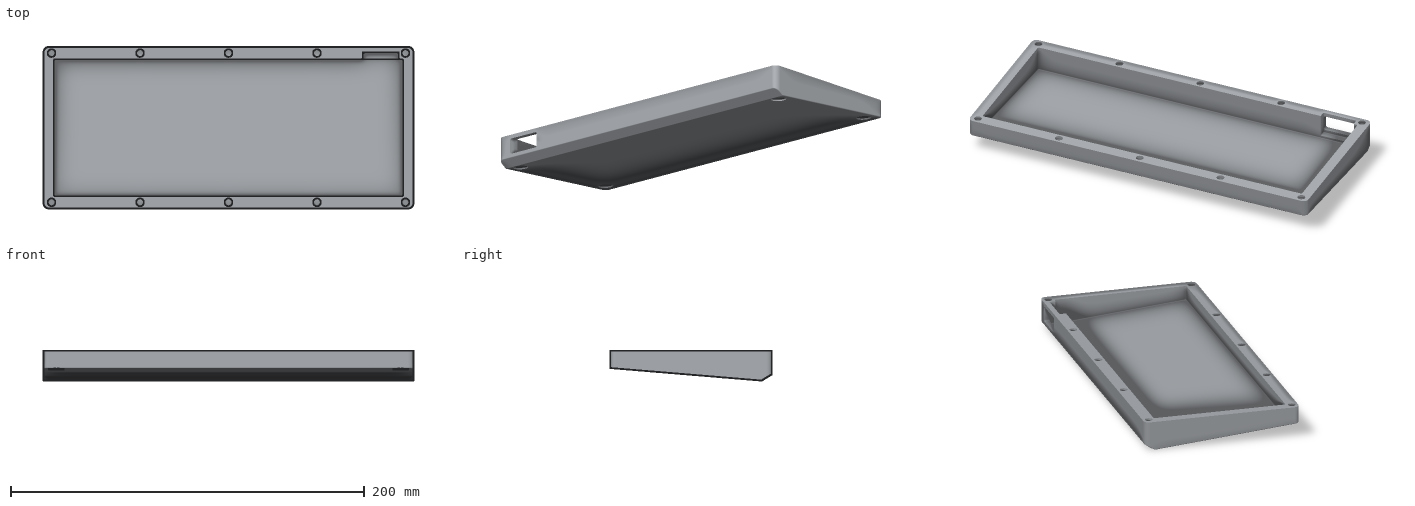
import cadquery as cq
import math

length = 209.3
width = 91.5
back_height = 17.0
front_height = 9.8
corner_radius = 3.1
bottom_edge_fillet = 0.5

bevel_run = 5.9
bevel_rise = 3.5

side_wall = 5.9
end_wall = 7.0
floor_thickness = 2.0
cavity_corner_radius = 1.0
floor_fillet = 0.5

hole_diameter = 4.4
hole_depth = 1.9
hole_columns = 5
hole_inset_x = 4.5
hole_inset_y = 3.5

foot_diameter = 8.5
foot_depth = 0.8
foot_inset_x = 7.3
foot_inset_front = 8.4
foot_inset_back = 10.5

notch_length = 20.3
notch_end_gap = 8.4
notch_depth = 13.2
notch_skin = 3.1
notch_fillet = 0.5
mouth_radius = 0.5
window_margin = 0.2
window_top = 2.3
window_height = 9.0
window_corner_radius = 1.0

overlap = 1.0

half_length = length / 2
front_y = -width / 2
back_y = width / 2
ridge_y = back_y - bevel_run
cavity_front = front_y + end_wall
cavity_back = back_y - end_wall
notch_x = half_length - notch_end_gap - notch_length / 2
slope = (back_height - front_height) / (ridge_y - front_y)


def underside_z(y):
    """Height of the sloping underside at a given Y."""
    return -front_height - slope * (y - front_y)


def side_profile_prism(points, prism_length):
    """Extrude a (Y, Z) outline along X, centred on X = 0."""
    return cq.Workplane("YZ").polyline(points).close().extrude(prism_length / 2, both=True)


def make_body():
    profile = [
        (front_y, 0),
        (back_y, 0),
        (back_y, bevel_rise - back_height),
        (ridge_y, -back_height),
        (front_y, -front_height),
    ]
    wedge = side_profile_prism(profile, length)
    wedge = wedge.edges("|Z").fillet(corner_radius)
    bottom_zone = cq.selectors.BoxSelector(
        (-length, -width, -2 * back_height),
        (length, width, -front_height + bottom_edge_fillet),
    )
    return wedge.edges(bottom_zone).edges("not |Z").fillet(bottom_edge_fillet)


def make_cavity():
    profile = [
        (cavity_front, 0),
        (cavity_back, 0),
        (cavity_back, underside_z(cavity_back) + floor_thickness),
        (cavity_front, underside_z(cavity_front) + floor_thickness),
    ]
    cavity = side_profile_prism(profile, length - 2 * side_wall)
    cavity = cavity.edges("|Z").fillet(cavity_corner_radius)
    return cavity.faces("<Z").edges().fillet(floor_fillet)


def make_rim_holes():
    pitch_x = (length - 2 * hole_inset_x) / (hole_columns - 1)
    pitch_y = width - 2 * hole_inset_y
    return (
        cq.Workplane("XY")
        .rarray(pitch_x, pitch_y, hole_columns, 2)
        .circle(hole_diameter / 2)
        .extrude(-hole_depth)
    )


def make_foot_recess(x, y):
    """Disc square to the sloping underside, sunk into it by foot_depth."""
    inward = cq.Vector(0, slope, 1)
    centre = cq.Vector(x, y, underside_z(y))
    return cq.Solid.makeCylinder(foot_diameter / 2, foot_depth, centre, inward)


def make_notch():
    """Block behind the cavity's back wall, rounded along the sides and rear of its floor."""
    reach = back_y - notch_skin - cavity_back
    return (
        cq.Workplane("XY")
        .box(notch_length, reach + overlap, notch_depth, centered=(True, False, False))
        .translate((notch_x, cavity_back - overlap, -notch_depth))
        .faces("<Z")
        .edges("|Y or >Y")
        .fillet(notch_fillet)
    )


def make_notch_mouth():
    """Flared prism that rounds over the two upright edges where the notch meets the cavity."""
    half_notch = notch_length / 2
    half_mouth = half_notch + mouth_radius
    arc_x = half_mouth - mouth_radius * math.sqrt(0.5)
    arc_y = mouth_radius * (1 - math.sqrt(0.5))
    return (
        cq.Workplane("XY", origin=(notch_x, cavity_back, 0))
        .moveTo(-half_mouth, -overlap)
        .lineTo(half_mouth, -overlap)
        .lineTo(half_mouth, 0)
        .threePointArc((arc_x, arc_y), (half_notch, mouth_radius))
        .lineTo(-half_notch, mouth_radius)
        .threePointArc((-arc_x, arc_y), (-half_mouth, 0))
        .close()
        .extrude(notch_fillet - notch_depth)
    )


def make_window():
    return (
        cq.Workplane("XZ", origin=(notch_x, back_y, -window_top - window_height / 2))
        .rect(notch_length - 2 * window_margin, window_height)
        .extrude(notch_skin)
        .edges("|Y")
        .fillet(window_corner_radius)
    )


tray = make_body()
for cutter in (make_cavity(), make_rim_holes(), make_notch(), make_notch_mouth(), make_window()):
    tray = tray.cut(cutter)
for foot_x in (foot_inset_x - half_length, half_length - foot_inset_x):
    for foot_y in (front_y + foot_inset_front, back_y - foot_inset_back):
        tray = tray.cut(cq.Workplane(make_foot_recess(foot_x, foot_y)))

result = cq.Workplane(tray.solids().val())